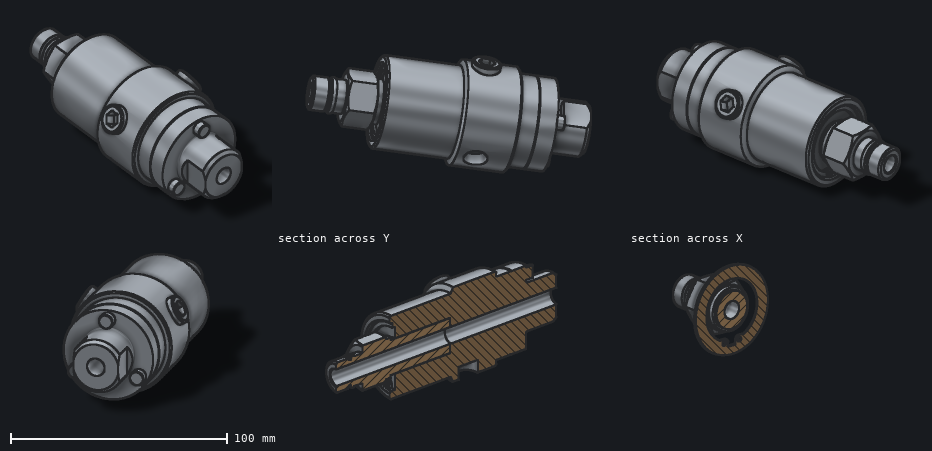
import cadquery as cq
import math


bore_dia = 8.5

nose_dia = 16.0
nose_tip_dia = 14.0
nose_chamfer = 0.8
bore_chamfer = 0.4
groove_dia = 13.5
groove_taper_start = 7.2
groove_start = 8.1
groove_end = 8.9
bead_dia = 17
bead_start = 9.2
bead_end = 11.1
hex_start = 15.7
hex_length = 14.3
hex_across_flats = 23.7
hex_end_dia = 22.5
hex_chamfer = 1.2
shoulder_dia = 21.4
shoulder_length = 2.8
neck_dia = 18.7
rotor_end = 68.2

front_face = 31.9
barrel_dia = 43.8
barrel_chamfer = 0.9
collar_dia = 49.5
collar_start = 68.2
collar_end = 95.5
collar_front_chamfer = 1.3
collar_rear_chamfer = 0.8
joint_position = 104.2
joint_width = 0.5
joint_depth = 0.3
flange_end = 113.1

recess_dia = 35.1
recess_chamfer = 0.9
ring_setback = 1.7
ring_thickness = 1.5
ring_inner_dia = 30.4
ring_gap = 4.2
lug_hole_dia = 2.0
lug_hole_y = 4.6
lug_hole_z = -15.5
lug_top_z = -13.2
lug_outer_y = 7.1

spigot_end = 131.1
spigot_dia = 25.7
spigot_root_fillet = 0.9
spigot_end_chamfer = 2.0
spigot_end_bevel = 1.7
flats_width = 21.9
flats_start = 118.1

screw_head_dia = 6.8
screw_head_height = 3.9
screw_head_chamfer = 0.3
screw_circle_radius = 17.5
screw_count = 3

port_position = 78.7
plug_angle = 60
open_port_angle = 180
plug_dia = 13.5
plug_face_radius = 27.4
plug_chamfer_height = 0.5
plug_chamfer_width = 0.9
plug_root_radius = 19.7
socket_across_flats = 6.8
socket_depth = 5.4
open_port_dia = 11.1
open_port_depth = 6.5


def revolve_profile(points):
    """Turn a closed (x, radius) outline about the X axis."""
    return cq.Workplane("XY").polyline(points).close().revolve(360, (0, 0, 0), (1, 0, 0))


def disc(dia, start, end):
    """Cylinder along X between two X positions."""
    return cq.Workplane("YZ").workplane(offset=start).circle(dia / 2).extrude(end - start)


def hexagon_diameter(across_flats):
    """Diameter over the corners of a hexagon."""
    return across_flats / math.cos(math.radians(30))


def make_nose():
    """Turned nose with a snap groove and a rounded bead."""
    bead_middle = (bead_start + bead_end) / 2
    return (
        cq.Workplane("XY")
        .moveTo(0, 0)
        .lineTo(0, nose_tip_dia / 2)
        .lineTo(nose_chamfer, nose_dia / 2)
        .lineTo(groove_taper_start, nose_dia / 2)
        .lineTo(groove_start, groove_dia / 2)
        .lineTo(groove_end, groove_dia / 2)
        .lineTo(bead_start, nose_dia / 2)
        .threePointArc((bead_middle, bead_dia / 2), (bead_end, nose_dia / 2))
        .lineTo(hex_start, nose_dia / 2)
        .lineTo(hex_start, 0)
        .close()
        .revolve(360, (0, 0, 0), (1, 0, 0))
    )


def make_hexagon():
    """Wrench hexagon, flats up and down, with both ends turned to a cone."""
    corner_dia = hexagon_diameter(hex_across_flats)
    hex_end = hex_start + hex_length
    prism = (
        cq.Workplane("YZ")
        .workplane(offset=hex_start)
        .polygon(6, corner_dia)
        .extrude(hex_length)
    )
    envelope = revolve_profile([
        (hex_start, 0),
        (hex_start, hex_end_dia / 2),
        (hex_start + hex_chamfer, corner_dia / 2),
        (hex_end - hex_chamfer, corner_dia / 2),
        (hex_end, hex_end_dia / 2),
        (hex_end, 0),
    ])
    return prism.intersect(envelope)


def make_rotor():
    """Nose, hexagon, shoulder and neck with a bore through all of them."""
    hex_end = hex_start + hex_length
    shoulder = disc(shoulder_dia, hex_end, hex_end + shoulder_length)
    neck = disc(neck_dia, hex_end, rotor_end)
    bore = disc(bore_dia, 0, rotor_end)
    bore_mouth = revolve_profile([
        (0, 0),
        (0, bore_dia / 2 + bore_chamfer),
        (bore_chamfer, bore_dia / 2),
        (bore_chamfer, 0),
    ])
    body = make_nose().union(make_hexagon()).union(shoulder).union(neck)
    return body.cut(bore).cut(bore_mouth)


def make_shell():
    """Barrel, collar and flange, divided by a fine joint groove."""
    barrel_radius = barrel_dia / 2
    collar_radius = collar_dia / 2
    return revolve_profile([
        (front_face, 0),
        (front_face, barrel_radius - barrel_chamfer),
        (front_face + barrel_chamfer, barrel_radius),
        (collar_start, barrel_radius),
        (collar_start + collar_front_chamfer, collar_radius),
        (collar_end - collar_rear_chamfer, collar_radius),
        (collar_end, collar_radius - collar_rear_chamfer),
        (collar_end, barrel_radius),
        (joint_position - joint_width / 2, barrel_radius),
        (joint_position, barrel_radius - joint_depth),
        (joint_position + joint_width / 2, barrel_radius),
        (flange_end, barrel_radius),
        (flange_end, 0),
    ])


def make_recess():
    """Chamfered recess in the front face that takes the retaining ring."""
    recess_depth = ring_setback + ring_thickness
    return revolve_profile([
        (front_face, 0),
        (front_face, recess_dia / 2 + recess_chamfer),
        (front_face + recess_chamfer, recess_dia / 2),
        (front_face + recess_depth, recess_dia / 2),
        (front_face + recess_depth, 0),
    ])


def make_retaining_ring():
    """Open ring with two drilled lugs beside the gap at the bottom."""
    ring_plane = cq.Workplane("YZ").workplane(offset=front_face + ring_setback)
    recess_radius = recess_dia / 2
    half_gap = ring_gap / 2
    corner_radius = lug_hole_y - half_gap
    corner_mid = corner_radius * (1 - math.sqrt(0.5))
    ring = ring_plane.circle(recess_radius).circle(ring_inner_dia / 2).extrude(ring_thickness)
    gap = ring_plane.center(0, -recess_radius).rect(ring_gap, recess_radius).extrude(ring_thickness)
    ring = ring.cut(gap)
    inside_recess = ring_plane.circle(recess_radius).extrude(ring_thickness)
    for side in (-1, 1):
        lug = (
            ring_plane.moveTo(side * half_gap, -recess_radius)
            .lineTo(side * half_gap, lug_top_z - corner_radius)
            .threePointArc(
                (side * (half_gap + corner_mid), lug_top_z - corner_mid),
                (side * lug_hole_y, lug_top_z),
            )
            .lineTo(side * lug_outer_y, lug_top_z)
            .lineTo(side * lug_outer_y, -recess_radius)
            .close()
            .extrude(ring_thickness)
        )
        hole = (
            ring_plane.center(side * lug_hole_y, lug_hole_z)
            .circle(lug_hole_dia / 2)
            .extrude(ring_thickness)
        )
        ring = ring.union(lug.intersect(inside_recess)).cut(hole)
    return ring


def make_spigot():
    """Round spigot with a filleted root, a bevelled end and two wrench flats."""
    radius = spigot_dia / 2
    fillet_mid = spigot_root_fillet * (1 - math.sqrt(0.5))
    spigot = (
        cq.Workplane("XY")
        .moveTo(flange_end, 0)
        .lineTo(flange_end, radius + spigot_root_fillet)
        .threePointArc(
            (flange_end + fillet_mid, radius + fillet_mid),
            (flange_end + spigot_root_fillet, radius),
        )
        .lineTo(spigot_end - spigot_end_chamfer, radius)
        .lineTo(spigot_end, radius - spigot_end_bevel)
        .lineTo(spigot_end, 0)
        .close()
        .revolve(360, (0, 0, 0), (1, 0, 0))
    )
    flat_y = flats_width / 2
    run_out = spigot_dia - flat_y
    for side in (-1, 1):
        flat = (
            cq.Workplane("XY")
            .polyline([
                (flats_start, side * flat_y),
                (flats_start - run_out, side * spigot_dia),
                (spigot_end, side * spigot_dia),
                (spigot_end, side * flat_y),
            ])
            .close()
            .extrude(spigot_dia, both=True)
        )
        spigot = spigot.cut(flat)
    return spigot


def make_screw_head(angle):
    """Screw head on the flange, turned about X from the top position."""
    return (
        cq.Workplane("YZ")
        .workplane(offset=flange_end)
        .center(0, screw_circle_radius)
        .circle(screw_head_dia / 2)
        .extrude(screw_head_height)
        .faces(">X")
        .chamfer(screw_head_chamfer)
        .rotate((0, 0, 0), (1, 0, 0), angle)
    )


def port_plane(angle):
    """Plane on the housing axis whose normal is +Z turned about X by the angle."""
    turn = math.radians(angle)
    normal = (0, -math.sin(turn), math.cos(turn))
    return cq.Plane(origin=(port_position, 0, 0), xDir=(1, 0, 0), normal=normal)


def make_plug_head(angle):
    """Round plug head with a chamfered outer face."""
    plane = port_plane(angle)
    return (
        cq.Workplane(plane)
        .workplane(offset=plug_root_radius)
        .circle(plug_dia / 2)
        .extrude(plug_face_radius - plug_root_radius)
        .faces(cq.DirectionMinMaxSelector(plane.zDir))
        .chamfer(plug_chamfer_height, plug_chamfer_width)
    )


def make_plug_socket(angle):
    """Hexagon socket sunk into the face of a plug head."""
    return (
        cq.Workplane(port_plane(angle))
        .workplane(offset=plug_face_radius)
        .polygon(6, hexagon_diameter(socket_across_flats))
        .extrude(-socket_depth)
    )


def make_open_port():
    """Drain port at the bottom of the collar."""
    return (
        cq.Workplane(port_plane(open_port_angle))
        .workplane(offset=collar_dia / 2)
        .circle(open_port_dia / 2)
        .extrude(-open_port_depth)
    )


def make_housing():
    """Shell with retaining ring, spigot, screw heads and ports, bored for the rotor neck."""
    housing = make_shell().cut(make_recess()).union(make_retaining_ring()).union(make_spigot())
    for index in range(screw_count):
        housing = housing.union(make_screw_head(index * 360 / screw_count))
    for angle in (-plug_angle, plug_angle):
        housing = housing.union(make_plug_head(angle)).cut(make_plug_socket(angle))
    rotor_seat = disc(neck_dia, front_face, rotor_end)
    passage = disc(bore_dia, rotor_end, spigot_end)
    return housing.cut(make_open_port()).cut(rotor_seat).cut(passage)


rotor = make_rotor().solids()
housing = make_housing().solids()
result = cq.Compound.makeCompound([rotor.val(), housing.val()])